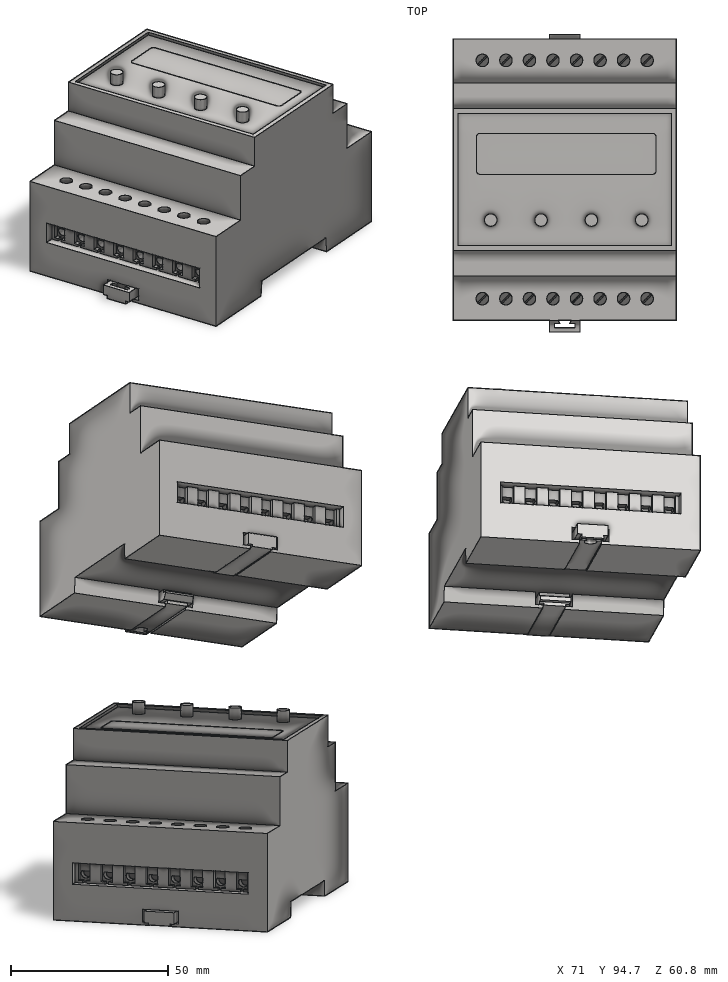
import cadquery as cq

HOUSING_WIDTH = 71.0
HOUSING_LENGTH = 89.5
LOWER_HEIGHT = 31.9
MIDDLE_LENGTH = 61.4
MIDDLE_HEIGHT = 47.7
TOP_LENGTH = 45.2
TOP_HEIGHT = 58.0

NOTCH_HEIGHT = 5.1
NOTCH_ROOF_LENGTH = 36.7
NOTCH_MOUTH_LENGTH = 37.7

PANEL_RIM = 1.6
PANEL_DEPTH = 0.9
PANEL_WIDTH = HOUSING_WIDTH - 2 * PANEL_RIM
PANEL_LENGTH = TOP_LENGTH - 2 * PANEL_RIM
PANEL_FLOOR = TOP_HEIGHT - PANEL_DEPTH
CONTROLS_X = 0.5
DISPLAY_WIDTH = 57.1
DISPLAY_LENGTH = 13.0
DISPLAY_Y = 8.1
DISPLAY_RADIUS = 1.0
DISPLAY_DEPTH = 0.1

BUTTON_COUNT = 4
BUTTON_PITCH = 16.0
BUTTON_DIAMETER = 4.0
BUTTON_Y = -12.9
BUTTON_TOP = 60.8

TERMINAL_COUNT = 8
TERMINAL_PITCH = 7.5
SCREW_Y = 37.9
SCREW_HOLE_DIAMETER = 4.0
SCREW_HOLE_DEPTH = 5.7
SCREW_SLOT_WIDTH = 0.5
SCREW_SLOT_DEPTH = 0.6
SCREW_SLOT_ANGLE = 45.0
RECESS_WIDTH = 58.3
RECESS_BOTTOM = 11.9
RECESS_TOP = 18.8
RECESS_DEPTH = 3.0
POCKET_WIDTH = 3.8
POCKET_BOTTOM = 12.7
POCKET_DEPTH = 1.7
DRAIN_WIDTH = 1.0
WIRE_RADIUS = 1.5
WIRE_Z = 14.8
WIRE_FLAT_Z = 15.5
WIRE_DEPTH = 2.8

CHANNEL_WIDTH = 11.9
LIP_THICKNESS = 1.0
LIP_GAP = 7.1
CLIP_WIDTH = 9.85

CATCH_OVERHANG = 1.4
CATCH_TOP = 4.8
CATCH_BOTTOM = 0.4
CATCH_INNER_Y = 17.7
CATCH_FOOT_Y = 17.0
CATCH_TIP_Y = 15.3
CATCH_HOOK_ROOT_Z = 3.7
CATCH_TIP_TOP = 2.9
CATCH_TIP_BOTTOM = 1.5

LATCH_OVERHANG = 3.8
LATCH_BOTTOM = 0.7
LATCH_SHOULDER = 1.7
LATCH_INNER_Y = -17.4
LATCH_TIP_Y = -15.7
LATCH_HOOK_TOP = 4.2
LATCH_TIP_BOTTOM = 3.6
LATCH_HOOK_ROOT_Y = -16.95
LATCH_WINDOW_WIDTH = 6.4
LATCH_WINDOW_LENGTH = 1.3
LATCH_END_WALL = 1.4
LATCH_HOLE_DIAMETER = 4.0
LATCH_HOLE_Y = -44.5


def block(width, y_range, z_range):
    """Box centred on X = 0 between the given Y and Z limits."""
    length = y_range[1] - y_range[0]
    height = z_range[1] - z_range[0]
    box = cq.Workplane("XY").box(width, length, height, centered=(True, False, False))
    return box.translate((0, y_range[0], z_range[0]))


def side_profile(points, width):
    """Prism centred on X = 0 from a (y, z) outline."""
    return cq.Workplane("YZ").polyline(points).close().extrude(width / 2, both=True)


def row_positions(count, pitch):
    return [(index - (count - 1) / 2) * pitch for index in range(count)]


def housing_shell():
    half_outline = [
        (NOTCH_ROOF_LENGTH / 2, NOTCH_HEIGHT),
        (NOTCH_MOUTH_LENGTH / 2, 0),
        (HOUSING_LENGTH / 2, 0),
        (HOUSING_LENGTH / 2, LOWER_HEIGHT),
        (MIDDLE_LENGTH / 2, LOWER_HEIGHT),
        (MIDDLE_LENGTH / 2, MIDDLE_HEIGHT),
        (TOP_LENGTH / 2, MIDDLE_HEIGHT),
        (TOP_LENGTH / 2, TOP_HEIGHT),
    ]
    mirrored = [(-y, z) for y, z in reversed(half_outline)]
    return side_profile(half_outline + mirrored, HOUSING_WIDTH)


def panel_recess():
    panel = block(PANEL_WIDTH, (-PANEL_LENGTH / 2, PANEL_LENGTH / 2), (PANEL_FLOOR, TOP_HEIGHT))
    display = (
        cq.Workplane("XY", origin=(CONTROLS_X, DISPLAY_Y, PANEL_FLOOR))
        .rect(DISPLAY_WIDTH, DISPLAY_LENGTH)
        .extrude(-DISPLAY_DEPTH)
        .edges("|Z")
        .fillet(DISPLAY_RADIUS)
    )
    return panel.union(display)


def buttons():
    centres = [(x, 0) for x in row_positions(BUTTON_COUNT, BUTTON_PITCH)]
    return (
        cq.Workplane("XY", origin=(CONTROLS_X, BUTTON_Y, PANEL_FLOOR))
        .pushPoints(centres)
        .circle(BUTTON_DIAMETER / 2)
        .extrude(BUTTON_TOP - PANEL_FLOOR)
    )


def screw_holes(row_y):
    """Blind screw holes, each with a slanted driver slot in its floor."""
    centres = [(x, 0) for x in row_positions(TERMINAL_COUNT, TERMINAL_PITCH)]
    floor = LOWER_HEIGHT - SCREW_HOLE_DEPTH
    holes = (
        cq.Workplane("XY", origin=(0, row_y, floor))
        .pushPoints(centres)
        .circle(SCREW_HOLE_DIAMETER / 2)
        .extrude(SCREW_HOLE_DEPTH)
    )
    slots = (
        cq.Workplane("XY", origin=(0, row_y, floor))
        .pushPoints(centres)
        .slot2D(SCREW_HOLE_DIAMETER, SCREW_SLOT_WIDTH, SCREW_SLOT_ANGLE)
        .extrude(-SCREW_SLOT_DEPTH)
    )
    return holes.union(slots)


def wire_entries():
    """Recess in the -Y end with a row of wire pockets behind it."""
    face_y = -HOUSING_LENGTH / 2
    recess_back = face_y + RECESS_DEPTH
    pocket_back = recess_back + POCKET_DEPTH
    entries = block(RECESS_WIDTH, (face_y, recess_back), (RECESS_BOTTOM, RECESS_TOP))

    pocket = block(POCKET_WIDTH, (recess_back, pocket_back), (POCKET_BOTTOM, RECESS_TOP))
    drain = block(DRAIN_WIDTH, (recess_back, pocket_back), (RECESS_BOTTOM, POCKET_BOTTOM))
    bore = (
        cq.Workplane("XZ", origin=(0, pocket_back, WIRE_Z))
        .circle(WIRE_RADIUS)
        .extrude(-WIRE_DEPTH)
    )
    bore = bore.intersect(
        block(POCKET_WIDTH, (pocket_back, pocket_back + WIRE_DEPTH), (POCKET_BOTTOM, WIRE_FLAT_Z))
    )
    terminal = pocket.union(drain).union(bore)
    for x in row_positions(TERMINAL_COUNT, TERMINAL_PITCH):
        entries = entries.union(terminal.translate((x, 0, 0)))
    return entries


def guide_channel():
    limits = (-HOUSING_LENGTH / 2, HOUSING_LENGTH / 2)
    wide = block(CHANNEL_WIDTH, limits, (LIP_THICKNESS, NOTCH_HEIGHT))
    narrow = block(LIP_GAP, limits, (0, LIP_THICKNESS))
    return wide.union(narrow)


def make_catch():
    """Fixed rail catch: a bar resting on the lips, a foot between them and a hook."""
    outer_y = HOUSING_LENGTH / 2 + CATCH_OVERHANG
    bar = side_profile(
        [
            (outer_y, LIP_THICKNESS),
            (outer_y, CATCH_TOP),
            (CATCH_INNER_Y, CATCH_TOP),
            (CATCH_INNER_Y, CATCH_HOOK_ROOT_Z),
            (CATCH_TIP_Y, CATCH_TIP_TOP),
            (CATCH_TIP_Y, CATCH_TIP_BOTTOM),
            (CATCH_FOOT_Y, CATCH_TIP_BOTTOM),
            (CATCH_FOOT_Y, LIP_THICKNESS),
        ],
        CLIP_WIDTH,
    )
    foot = block(LIP_GAP, (CATCH_FOOT_Y, outer_y), (CATCH_BOTTOM, LIP_THICKNESS))
    return bar.union(foot)


def make_housing():
    body = housing_shell().cut(panel_recess()).union(buttons())
    for row_y in (-SCREW_Y, SCREW_Y):
        body = body.cut(screw_holes(row_y))
    entries = wire_entries()
    body = body.cut(entries).cut(entries.mirror("XZ"))
    return body.cut(guide_channel()).union(make_catch())


def make_latch():
    """Sliding latch: a bar with a foot between the lips, a hook and a pull window."""
    outer_y = -HOUSING_LENGTH / 2 - LATCH_OVERHANG
    bar = side_profile(
        [
            (outer_y, LATCH_SHOULDER),
            (outer_y, NOTCH_HEIGHT),
            (LATCH_INNER_Y, NOTCH_HEIGHT),
            (LATCH_INNER_Y, LATCH_HOOK_TOP),
            (LATCH_TIP_Y, LATCH_HOOK_TOP),
            (LATCH_TIP_Y, LATCH_TIP_BOTTOM),
            (LATCH_HOOK_ROOT_Y, LATCH_SHOULDER),
        ],
        CLIP_WIDTH,
    )
    foot = block(LIP_GAP, (outer_y, LATCH_INNER_Y), (LATCH_BOTTOM, LATCH_SHOULDER))
    window_y = outer_y + LATCH_END_WALL
    window = block(LATCH_WINDOW_WIDTH, (window_y, window_y + LATCH_WINDOW_LENGTH), (0, NOTCH_HEIGHT))
    hole = (
        cq.Workplane("XY", origin=(0, LATCH_HOLE_Y, 0))
        .circle(LATCH_HOLE_DIAMETER / 2)
        .extrude(NOTCH_HEIGHT)
    )
    return bar.union(foot).cut(window).cut(hole)


housing = make_housing()
latch = make_latch()
result = cq.Compound.makeCompound([housing.val(), latch.val()])